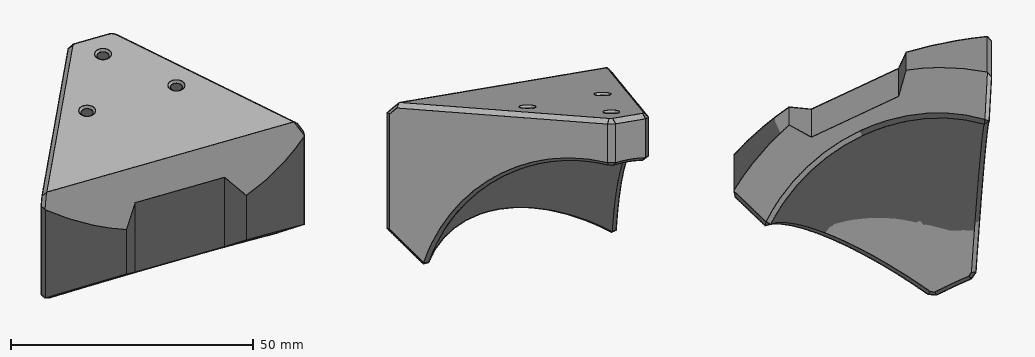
import cadquery as cq
import math

WEDGE_HALF_ANGLE = math.radians(30)
OUTER_RADIUS = 60.0
NOSE_X = 8.7
BLANK_DEPTH = 47.2
EDGE_CHAMFER = 1.0

TOP_BEVEL_X = 50.05
BOTTOM_BEVEL_SUM = 79.1

HOLLOW_RADIUS = 36.95
HOLLOW_X = 19.6
HOLLOW_Z = -45.25

NOTCH_X = 55.05
NOTCH_HALF_WIDTH = 10.05

HOLE_CENTRES = [(15.0, 0), (30.0, 10.05), (30.0, -10.05)]
HOLE_DIAMETER = 2.5
HOLE_MOUTH_DIAMETER = 3.5
HOLE_FLOOR_DIAMETER = 1.6
HOLE_DEPTH = 5.0


def sector_blank():
    """Truncated circular sector extruded downwards from the top face."""
    nose_y = NOSE_X * math.tan(WEDGE_HALF_ANGLE)
    rim_x = OUTER_RADIUS * math.cos(WEDGE_HALF_ANGLE)
    rim_y = OUTER_RADIUS * math.sin(WEDGE_HALF_ANGLE)
    return (
        cq.Workplane("XY")
        .moveTo(NOSE_X, -nose_y)
        .lineTo(rim_x, -rim_y)
        .threePointArc((OUTER_RADIUS, 0), (rim_x, rim_y))
        .lineTo(NOSE_X, nose_y)
        .close()
        .extrude(-BLANK_DEPTH)
    )


def bevel_envelope():
    """Side profile bounded by the two 45 degree rear bevels."""
    point_x = (TOP_BEVEL_X + BOTTOM_BEVEL_SUM) / 2
    point_z = TOP_BEVEL_X - point_x
    return (
        cq.Workplane("XZ")
        .polyline([
            (0, 0),
            (TOP_BEVEL_X, 0),
            (point_x, point_z),
            (BOTTOM_BEVEL_SUM - BLANK_DEPTH, -BLANK_DEPTH),
            (0, -BLANK_DEPTH),
        ])
        .close()
        .extrude(OUTER_RADIUS, both=True)
    )


def hollow():
    """Ball that scoops out the underside."""
    return cq.Workplane("XY").sphere(HOLLOW_RADIUS).translate((HOLLOW_X, 0, HOLLOW_Z))


def chamfer_outline(body):
    """Chamfer every edge of the two wedge sides, the nose flat and the hollow."""
    side_normal = cq.Vector(-math.sin(WEDGE_HALF_ANGLE), math.cos(WEDGE_HALF_ANGLE), 0)
    plus_y_side = cq.selectors.DirectionMinMaxSelector(side_normal, True)
    mirrored_normal = cq.Vector(side_normal.x, -side_normal.y, 0)
    minus_y_side = cq.selectors.DirectionMinMaxSelector(mirrored_normal, True)
    nose = cq.selectors.StringSyntaxSelector("<X")
    hollow_face = cq.selectors.TypeSelector("SPHERE")
    return body.faces(plus_y_side + minus_y_side + nose + hollow_face).edges().chamfer(EDGE_CHAMFER)


def notch():
    """Rear notch whose sides flare outwards at 45 degrees."""
    flare = OUTER_RADIUS - NOTCH_X
    mouth_half_width = NOTCH_HALF_WIDTH + flare
    return (
        cq.Workplane("XY")
        .polyline([
            (NOTCH_X, -NOTCH_HALF_WIDTH),
            (OUTER_RADIUS, -mouth_half_width),
            (OUTER_RADIUS, mouth_half_width),
            (NOTCH_X, NOTCH_HALF_WIDTH),
        ])
        .close()
        .extrude(-BLANK_DEPTH)
    )


def hole():
    """Blind hole with a 45 degree countersink and a tapered bottom."""
    radius = HOLE_DIAMETER / 2
    mouth_radius = HOLE_MOUTH_DIAMETER / 2
    floor_radius = HOLE_FLOOR_DIAMETER / 2
    return (
        cq.Workplane("XZ")
        .polyline([
            (0, 0),
            (mouth_radius, 0),
            (radius, radius - mouth_radius),
            (radius, radius - floor_radius - HOLE_DEPTH),
            (floor_radius, -HOLE_DEPTH),
            (0, -HOLE_DEPTH),
        ])
        .close()
        .revolve(360, (0, 0, 0), (0, 1, 0))
    )


blank = sector_blank().intersect(bevel_envelope()).cut(hollow())
result = chamfer_outline(blank).cut(notch())
for x, y in HOLE_CENTRES:
    result = result.cut(hole().translate((x, y, 0)))